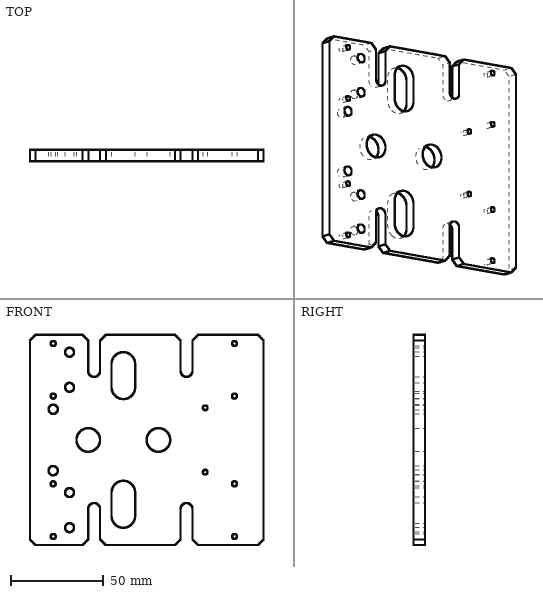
import cadquery as cq

PLATE_WIDTH = 127.0
PLATE_HEIGHT = 114.3
PLATE_THICKNESS = 6.35
CORNER_CHAMFER = 3.175

NOTCH_WIDTH = 6.35
NOTCH_DEPTH = 22.86
NOTCH_CENTERS_X = (-28.575, 21.59)

LARGE_HOLE_DIAMETER = 12.7
SLOT_LENGTH = 25.4
SLOT_CENTER_X = -12.7
SLOT_CENTER_Z = 34.925
LARGE_HOLE_OFFSET_X = 19.05

CORNER_HOLES = (2.64, (-50.8, 47.625), (23.8125, 52.3875))
INNER_HOLES = (2.46, (31.75,), (17.4625,))
PAIRED_HOLES = (4.76, (-41.91,), (28.575, 47.625))
EDGE_HOLES = (4.91, (-50.8,), (16.67,))


def back_face():
    """Workplane on the +Y face, with X across, Z up and its normal toward -Y."""
    return cq.Workplane("XZ", origin=(0, PLATE_THICKNESS / 2, 0))


def make_plate():
    """Rectangular plate with its four corners chamfered."""
    blank = back_face().rect(PLATE_WIDTH, PLATE_HEIGHT).extrude(PLATE_THICKNESS)
    return blank.edges("|Y").chamfer(CORNER_CHAMFER)


def make_notch(center_x):
    """Upper-edge notch with a round bottom and a chamfered mouth."""
    half_width = NOTCH_WIDTH / 2
    top = PLATE_HEIGHT / 2
    bottom = top - NOTCH_DEPTH
    profile = (
        back_face()
        .moveTo(center_x - half_width - CORNER_CHAMFER, top)
        .lineTo(center_x - half_width, top - CORNER_CHAMFER)
        .lineTo(center_x - half_width, bottom + half_width)
        .threePointArc((center_x, bottom), (center_x + half_width, bottom + half_width))
        .lineTo(center_x + half_width, top - CORNER_CHAMFER)
        .lineTo(center_x + half_width + CORNER_CHAMFER, top)
        .close()
    )
    return profile.extrude(PLATE_THICKNESS)


def cut_notches(plate):
    """Cut each notch and its mirror image in the lower edge."""
    for center_x in NOTCH_CENTERS_X:
        notch = make_notch(center_x)
        plate = plate.cut(notch).cut(notch.mirror("XY"))
    return plate


def cut_slots(plate):
    """Cut the upper and lower vertical slots."""
    centers = [(SLOT_CENTER_X, SLOT_CENTER_Z), (SLOT_CENTER_X, -SLOT_CENTER_Z)]
    slots = back_face().pushPoints(centers).slot2D(SLOT_LENGTH, LARGE_HOLE_DIAMETER, 90)
    return plate.cut(slots.extrude(PLATE_THICKNESS))


def cut_holes(plate, diameter, centers):
    """Cut through holes of one diameter at the given (X, Z) centres."""
    holes = back_face().pushPoints(centers).circle(diameter / 2)
    return plate.cut(holes.extrude(PLATE_THICKNESS))


def cut_large_holes(plate):
    """Cut the two large holes on the horizontal centreline."""
    centers = [(SLOT_CENTER_X + side * LARGE_HOLE_OFFSET_X, 0) for side in (-1, 1)]
    return cut_holes(plate, LARGE_HOLE_DIAMETER, centers)


def cut_small_holes(plate):
    """Cut every small-hole group above and below the centreline."""
    for diameter, positions_x, heights in (CORNER_HOLES, INNER_HOLES, PAIRED_HOLES, EDGE_HOLES):
        centers = [(x, side * z) for x in positions_x for z in heights for side in (-1, 1)]
        plate = cut_holes(plate, diameter, centers)
    return plate


result = make_plate()
result = cut_notches(result)
result = cut_slots(result)
result = cut_large_holes(result)
result = cut_small_holes(result)